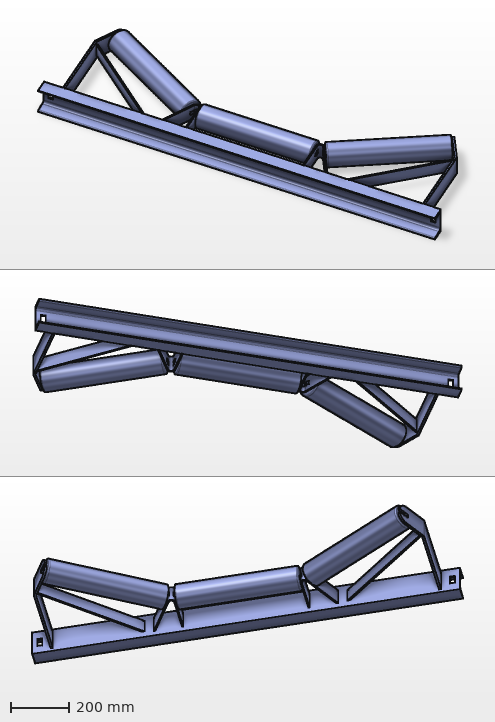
import cadquery as cq
import math


BEAM_LENGTH = 1500.0
BEAM_HEIGHT = 100.0
BEAM_DEPTH = 50.0
WEB_THICKNESS = 6.0
FLANGE_THICKNESS = 8.5
FLANGE_TAPER = 0.08
ROOT_RADIUS = 10.0
TOE_RADIUS = 5.0
SLOT_WIDTH = 18.0
SLOT_HEIGHT = 32.0
SLOT_END_DISTANCE = 27.0

ROLLER_LENGTH = 432.0
ROLLER_DIAMETER = 88.0
ROLLER_EDGE_RADIUS = 5.0
SHAFT_DIAMETER = 20.0
SHAFT_FLATS = 14.0
TROUGH_ANGLE = 30.0
MIDDLE_ROLLER_Y = 168.0
TOTAL_DEPTH = 429.0
SIDE_ROLLER_X = 442.0

INNER_HEIGHT = 60.0
OUTER_HEIGHT = 75.0
MIDDLE_GAP = 3.0
INNER_GAP = 5.0
OUTER_GAP = 3.0
INNER_THICKNESS = 5.0
INNER_BEND_RADIUS = 15.0
OUTER_THICKNESS = 8.0
OUTER_BEND_RADIUS = 9.0
OUTER_LEG_X = 676.0
TIP_RISE = 33.0
TIP_CORNER_RADIUS = 33.0

BRACE_THICKNESS = 6.0
BRACE_HEIGHT = 50.0
BRACE_FOOT_X = 360.0
BRACE_TOP_Y = 318.0

TILT = math.radians(TROUGH_ANGLE)
ROLLER_DIRECTION = cq.Vector(math.cos(TILT), math.sin(TILT))
STRIP_DIRECTION = cq.Vector(-math.sin(TILT), math.cos(TILT))

ROLLER_RADIUS = ROLLER_DIAMETER / 2
EDGE_CENTER_RISE = (
    (ROLLER_LENGTH / 2 - ROLLER_EDGE_RADIUS) * ROLLER_DIRECTION.y
    + (ROLLER_RADIUS - ROLLER_EDGE_RADIUS) * STRIP_DIRECTION.y
)
SIDE_ROLLER_Y = TOTAL_DEPTH - ROLLER_EDGE_RADIUS - EDGE_CENTER_RISE

SIDE_ROLLER_CENTER = cq.Vector(SIDE_ROLLER_X, SIDE_ROLLER_Y)
MIDDLE_ROLLER_CENTER = cq.Vector(0, MIDDLE_ROLLER_Y)

MIDDLE_REACH = ROLLER_LENGTH / 2 + MIDDLE_GAP
INNER_REACH = ROLLER_LENGTH / 2 + INNER_GAP
OUTER_REACH = ROLLER_LENGTH / 2 + OUTER_GAP


def point_at_x(start, direction, x):
    """Point with the given X on the line through start."""
    return start + direction * ((x - start.x) / direction.x)


def point_at_y(start, direction, y):
    """Point with the given Y on the line through start."""
    return start + direction * ((y - start.y) / direction.y)


def bent_strip(points, bend_radius, thickness, height):
    """A strip that follows a bent middle line given by three XY points."""
    path = cq.Wire.makePolygon(points).fillet(bend_radius)
    section = cq.Plane(origin=points[0], xDir=(0, 0, 1), normal=points[1] - points[0])
    return cq.Workplane(section).rect(height, thickness).sweep(cq.Workplane(path))


def trim_to_beam(shape):
    """Cut a part off flush with the face of the beam web."""
    below = cq.Workplane("XY").box(2 * BEAM_LENGTH, BEAM_DEPTH, BEAM_HEIGHT, centered=(True, False, True))
    return shape.cut(below)


def side_frame(shape):
    """Move a shape built along X at the origin onto the axis of the +X side roller."""
    return shape.rotate((0, 0, 0), (0, 0, 1), TROUGH_ANGLE).translate(SIDE_ROLLER_CENTER)


def for_side(shape, side):
    """Return the +X shape itself, or its mirror image for the -X side."""
    return shape if side > 0 else shape.mirror("YZ")


def make_beam():
    """A channel with tapered flanges that point to -Y, and one rectangular slot near each end."""
    block = cq.Workplane("XY").box(BEAM_LENGTH, BEAM_DEPTH, BEAM_HEIGHT, centered=(True, False, True))

    channel_depth = BEAM_DEPTH - WEB_THICKNESS
    mean_half_height = BEAM_HEIGHT / 2 - FLANGE_THICKNESS
    tip_half_height = mean_half_height + FLANGE_TAPER * BEAM_DEPTH / 2
    root_half_height = tip_half_height - FLANGE_TAPER * channel_depth
    channel = (
        cq.Workplane("YZ", origin=(-BEAM_LENGTH / 2, 0, 0))
        .moveTo(0, -tip_half_height)
        .lineTo(channel_depth, -root_half_height)
        .lineTo(channel_depth, root_half_height)
        .lineTo(0, tip_half_height)
        .close()
        .extrude(BEAM_LENGTH)
        .edges("|X and >Y")
        .fillet(ROOT_RADIUS)
    )

    slot_x = BEAM_LENGTH / 2 - SLOT_END_DISTANCE
    slots = (
        cq.Workplane("XZ")
        .pushPoints([(-slot_x, 0), (slot_x, 0)])
        .rect(SLOT_WIDTH, SLOT_HEIGHT)
        .extrude(-BEAM_DEPTH)
    )

    toes = block.cut(channel).faces("<Y").edges("|X")
    flange_middle_z = (tip_half_height + BEAM_HEIGHT / 2) / 2
    inner_toes = toes.filter(lambda edge: abs(edge.Center().z) < flange_middle_z)
    return inner_toes.fillet(TOE_RADIUS).cut(slots)


def shaft_bar(start, end):
    """A round bar along X with two flats facing +Z and -Z."""
    bar = cq.Workplane("YZ", origin=(start, 0, 0)).circle(SHAFT_DIAMETER / 2).extrude(end - start)
    flats = cq.Workplane("XY").box(2 * ROLLER_LENGTH, SHAFT_DIAMETER, SHAFT_FLATS)
    return bar.intersect(flats)


def make_roller(start_reach, end_reach):
    """A roller along X at the origin, its shaft ending at -start_reach and +end_reach."""
    shell = (
        cq.Workplane("YZ", origin=(-ROLLER_LENGTH / 2, 0, 0))
        .circle(ROLLER_RADIUS)
        .extrude(ROLLER_LENGTH)
        .faces("<X or >X")
        .edges()
        .fillet(ROLLER_EDGE_RADIUS)
    )
    return shell.union(shaft_bar(-start_reach, end_reach))


def shaft_slot(start, end):
    """Cutter for an open slot around a shaft: its flatted section continued upward along +Y."""
    opening = cq.Workplane("XY").box(
        end - start, ROLLER_DIAMETER, SHAFT_FLATS, centered=(False, False, True)
    )
    return shaft_bar(start, end).union(opening.translate((start, 0, 0)))


def make_inner_bracket():
    """The +X strip bent over to carry one end of the middle roller and one of the side roller."""
    upright_x = MIDDLE_REACH + INNER_THICKNESS / 2
    strip_center = SIDE_ROLLER_CENTER - ROLLER_DIRECTION * (INNER_REACH + INNER_THICKNESS / 2)
    corner = point_at_x(strip_center, STRIP_DIRECTION, upright_x)
    upright_foot = cq.Vector(upright_x, BEAM_DEPTH)
    sloping_foot = point_at_y(strip_center, STRIP_DIRECTION, BEAM_DEPTH - WEB_THICKNESS)
    bend_radius = INNER_BEND_RADIUS - INNER_THICKNESS / 2
    middle_line = [upright_foot, corner, sloping_foot]
    bracket = trim_to_beam(bent_strip(middle_line, bend_radius, INNER_THICKNESS, INNER_HEIGHT))
    middle_slot = shaft_slot(MIDDLE_REACH, MIDDLE_REACH + INNER_THICKNESS).translate(MIDDLE_ROLLER_CENTER)
    side_slot = side_frame(shaft_slot(-INNER_REACH - INNER_THICKNESS, -INNER_REACH))
    return bracket.cut(middle_slot).cut(side_slot)


def make_outer_bracket():
    """The +X upright strip, bent inward at the top to carry the outer end of the side roller."""
    upright_x = OUTER_LEG_X + OUTER_THICKNESS / 2
    strip_center = SIDE_ROLLER_CENTER + ROLLER_DIRECTION * (OUTER_REACH + OUTER_THICKNESS / 2)
    corner = point_at_x(strip_center, STRIP_DIRECTION, upright_x)
    foot = cq.Vector(upright_x, BEAM_DEPTH)
    tip = strip_center + STRIP_DIRECTION * TIP_RISE
    bend_radius = OUTER_BEND_RADIUS - OUTER_THICKNESS / 2
    bracket = bent_strip([foot, corner, tip], bend_radius, OUTER_THICKNESS, OUTER_HEIGHT)
    tip_face = bracket.faces(cq.selectors.DirectionMinMaxSelector(STRIP_DIRECTION))
    bracket = tip_face.edges("#Z").fillet(TIP_CORNER_RADIUS)
    slot = side_frame(shaft_slot(OUTER_REACH, OUTER_REACH + OUTER_THICKNESS))
    return bracket.cut(slot)


def make_brace(outer_bracket):
    """The +X diagonal strip from the beam to the outer bracket, trimmed where it meets the bend."""
    rise = BRACE_TOP_Y - BEAM_DEPTH
    run = OUTER_LEG_X - BRACE_FOOT_X
    length = math.hypot(rise, run)
    foot_half_width = BRACE_THICKNESS / 2 * length / rise
    top_half_width = BRACE_THICKNESS / 2 * length / run
    outline = [
        (BRACE_FOOT_X - foot_half_width, BEAM_DEPTH),
        (BRACE_FOOT_X + foot_half_width, BEAM_DEPTH),
        (OUTER_LEG_X, BRACE_TOP_Y - top_half_width),
        (OUTER_LEG_X, BRACE_TOP_Y + top_half_width),
    ]
    brace = cq.Workplane("XY").polyline(outline).close().extrude(BRACE_HEIGHT / 2, both=True)
    return brace.cut(outer_bracket)


beam = make_beam()
middle_roller = make_roller(MIDDLE_REACH + INNER_THICKNESS, MIDDLE_REACH + INNER_THICKNESS)
middle_roller = middle_roller.translate(MIDDLE_ROLLER_CENTER)
bodies = [beam.val(), middle_roller.val()]

outer_bracket = make_outer_bracket()
right_hand_parts = [
    side_frame(make_roller(INNER_REACH + INNER_THICKNESS, OUTER_REACH + OUTER_THICKNESS)),
    make_inner_bracket(),
    outer_bracket,
    make_brace(outer_bracket),
]
for side in (1, -1):
    for part in right_hand_parts:
        bodies.append(for_side(part, side).val())

result = cq.Compound.makeCompound(bodies)